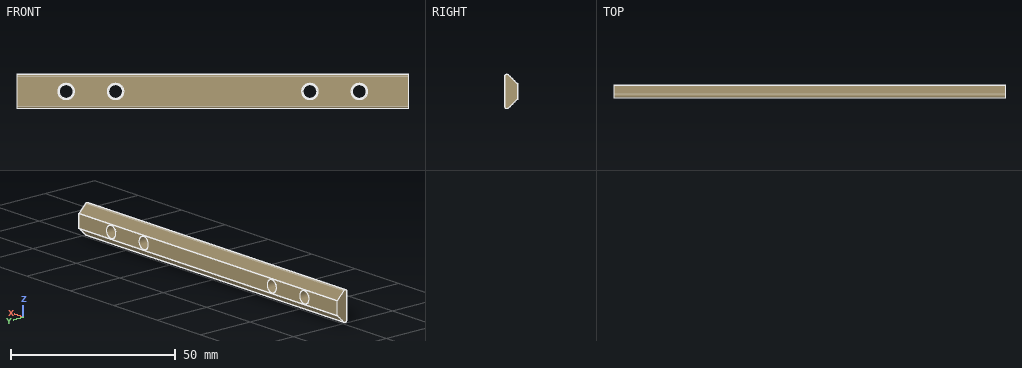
import cadquery as cq
import math

length = 119.0
thickness = 4.0
width = 10.5
back_width = 4.8
edge_radius = 0.7
hole_diameter = 4.2
chamfer_diameter = 5.0
hole_spacing = 15.0

front_y = -thickness / 2
back_y = thickness / 2
arc_center_y = front_y + edge_radius
arc_center_z = width / 2 - edge_radius
diagonal = edge_radius * math.sqrt(0.5)
tangent_y = arc_center_y + diagonal
tangent_z = arc_center_z + diagonal
flank_end_z = back_width / 2
flank_end_y = tangent_y + tangent_z - flank_end_z

arc_mid_angle = math.radians(135 / 2)
arc_mid_y = arc_center_y - edge_radius * math.cos(arc_mid_angle)
arc_mid_z = arc_center_z + edge_radius * math.sin(arc_mid_angle)


def make_bar():
    """Dovetail bar with rounded wide edges and a short straight land at the back."""
    return (
        cq.Workplane("YZ", origin=(-length / 2, 0, 0))
        .moveTo(front_y, -arc_center_z)
        .lineTo(front_y, arc_center_z)
        .threePointArc((arc_mid_y, arc_mid_z), (tangent_y, tangent_z))
        .lineTo(flank_end_y, flank_end_z)
        .lineTo(back_y, flank_end_z)
        .lineTo(back_y, -flank_end_z)
        .lineTo(flank_end_y, -flank_end_z)
        .lineTo(tangent_y, -tangent_z)
        .threePointArc((arc_mid_y, -arc_mid_z), (front_y, -arc_center_z))
        .close()
        .extrude(length)
    )


def make_hole_cutter(x):
    """Through hole at x with a 45 degree chamfer at the front face."""
    hole_radius = hole_diameter / 2
    chamfer_radius = chamfer_diameter / 2
    chamfer_depth = chamfer_radius - hole_radius
    origin = cq.Vector(x, front_y, 0)
    direction = cq.Vector(0, 1, 0)
    bore = cq.Solid.makeCylinder(hole_radius, thickness, origin, direction)
    chamfer = cq.Solid.makeCone(chamfer_radius, hole_radius, chamfer_depth, origin, direction)
    return bore.fuse(chamfer)


result = make_bar()
for side in (-1, 1):
    for step in (1, 2):
        hole_x = side * (length / 2 - step * hole_spacing)
        result = result.cut(cq.Workplane(make_hole_cutter(hole_x)))